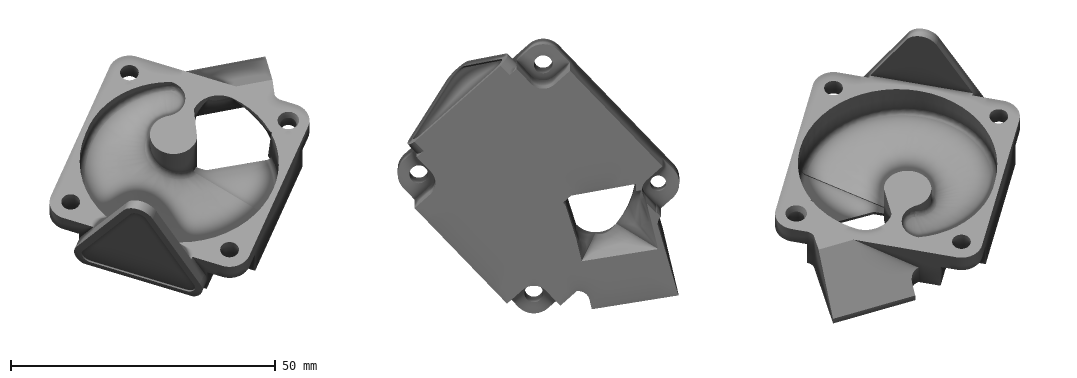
import cadquery as cq
import math

side = 40.0
height = 9.05
corner_radius = 4.0
flange_bottom = 5.45
half = side / 2
hole_offset = half - corner_radius
hole_diameter = 3.55
relief_radius = 3.15
relief_size = corner_radius + relief_radius

small_hole_diameter = 3.05
mouth_diameter = 4.05
mouth_depth = 1.25

cavity_radius = 18.9
post_x = -3.2
post_y = 5.4
post_radius = 4.5
lobe_neck = (-5.45, 9.25)
lobe_right = (-3.75, 12.7)
lobe_top = (-7.8, 16.75)
left_arc_middle = (-12.85, 13.9)
scroll_end_angle = -16
scroll_sweep = 264
scroll_low = 0.9
scroll_high = 8.1
scroll_fillet = 0.95
outlet_floor = 0.7
reach = 2 * side

post_side = (1.25, 6.3)
outlet_left = (-1.65, 12.25)
rim_arc_middle = (13.4, 12.7)
rim_point = (4.05, 17.25)
outlet_edge_start = (3.35, 5.4)
outlet_edge_end = (14.2, 12.2)
spout_tip = (4.9, 33.65)
spout_left = (-9, 24.55)
spout_break = (9.85, 23.8)
spout_tip_height = 1.35
spout_left_root = -8.65
spout_left_hollow = (-7.75, 21.45)
spout_left_end = (-8.0, 22.8)
spout_right_end = (11.5, 20.75)
spout_right_hollow = (12.15, 20.25)
spout_right_root = 13.05
outlet_arc_middle = (-0.1, 15.8)
outlet_corner = (0.3, 15.85)
flare_left = (-3.95, 16.3)
flare_far = (8.3, 24.35)
flare_right = (14.15, 13.95)

plate_front = -22.55
plate_thickness = 1.95
plate_corner_radius = 3.35
plate_top = 22.9
plate_corner_x = 9.55
recess_corner_radius = 1.9
recess_depth = 0.35


def make_body():
    body = cq.Workplane().rect(side, side).extrude(height)
    body = body.edges("|Z").fillet(corner_radius)
    lower = cq.Workplane().rect(side, side).extrude(flange_bottom)
    body = body.union(lower)
    relief_side = 2 * relief_size
    relief = cq.Workplane().rect(relief_side, relief_side).extrude(flange_bottom)
    relief = relief.edges("|Z").fillet(relief_radius)
    for sx in (-1, 1):
        for sy in (-1, 1):
            body = body.cut(relief.translate((sx * half, sy * half, 0)))
    return body


def make_spout():
    outline = (
        cq.Workplane()
        .moveTo(*spout_tip)
        .lineTo(*spout_left)
        .lineTo(*spout_left_end)
        .threePointArc(spout_left_hollow, (spout_left_root, half))
        .lineTo(spout_left_root, cavity_radius)
        .lineTo(spout_right_root, cavity_radius)
        .lineTo(spout_right_root, half)
        .threePointArc(spout_right_hollow, spout_right_end)
        .close()
        .extrude(height)
    )
    edge_x = spout_tip[0] - spout_left[0]
    edge_y = spout_tip[1] - spout_left[1]
    edge_length = math.hypot(edge_x, edge_y)
    outward = cq.Vector(-edge_y / edge_length, edge_x / edge_length, 0)
    along = cq.Vector(edge_x / edge_length, edge_y / edge_length, 0)
    run = (cq.Vector(*spout_tip) - cq.Vector(*spout_break)).dot(outward)
    plane = cq.Plane(origin=spout_break, xDir=outward, normal=along)
    slope = (
        cq.Workplane(plane)
        .polyline([(0, height), (run, spout_tip_height), (run, 0), (-side, 0), (-side, height)])
        .close()
        .extrude(side, both=True)
    )
    return outline.intersect(slope)


def make_cavity():
    return (
        cq.Workplane()
        .moveTo(-cavity_radius, 0)
        .threePointArc((0, -cavity_radius), (cavity_radius, 0))
        .threePointArc(rim_arc_middle, rim_point)
        .threePointArc(outlet_arc_middle, outlet_left)
        .lineTo(*post_side)
        .threePointArc((post_x, post_y - post_radius), lobe_neck)
        .threePointArc(lobe_right, lobe_top)
        .threePointArc(left_arc_middle, (-cavity_radius, 0))
        .close()
        .extrude(height)
    )


def polar(angle, radius):
    a = math.radians(angle)
    return (post_x + radius * math.cos(a), post_y + radius * math.sin(a))


def make_scroll_space(cavity):
    """Cavity above the helical floor, rising clockwise from the outlet."""
    rise = scroll_high - scroll_low
    path = cq.Wire.makeHelix(rise * 360 / scroll_sweep, rise, post_radius, lefthand=True)
    inner_radius = post_radius / 4
    profile = cq.Workplane("XZ").moveTo(inner_radius, 0)
    profile = profile.lineTo(side, 0).lineTo(side, side).lineTo(inner_radius, side).close()
    space = profile.sweep(cq.Workplane(path), isFrenet=True)
    space = space.rotate((0, 0, 0), (0, 0, 1), scroll_end_angle)
    space = cavity.intersect(space.translate((post_x, post_y, scroll_low)))
    floor = min(space.faces().vals(), key=lambda face: face.normalAt().z)
    end_edge = min(floor.Edges(), key=lambda edge: edge.Center().z)
    wall_edges = [edge for edge in floor.Edges() if not edge.isSame(end_edge)]
    return space.newObject(wall_edges).fillet(scroll_fillet)


def make_outlet(cavity):
    sector = (
        cq.Workplane(origin=(0, 0, outlet_floor))
        .polyline([(post_x, post_y), polar(scroll_end_angle, reach), (reach, reach), (post_x, reach)])
        .close()
        .extrude(height)
    )
    floor_space = cavity.intersect(sector)
    floor_space = floor_space.faces("<Z").edges(">X").fillet(scroll_fillet)
    dx = outlet_edge_end[0] - outlet_edge_start[0]
    dy = outlet_edge_end[1] - outlet_edge_start[1]
    far = (outlet_edge_start[0] + 3 * dx, outlet_edge_start[1] + 3 * dy)
    opening = (
        cq.Workplane()
        .polyline([(post_x, post_y), outlet_edge_start, far, (far[0], reach), (post_x, reach)])
        .close()
        .extrude(height)
    )
    return floor_space.union(cavity.intersect(opening))


def make_duct():
    """Opening that flares from the cavity rim out under the spout."""
    top = [post_side, outlet_left, outlet_corner, rim_point, outlet_edge_end, outlet_edge_start]
    bottom = [post_side, outlet_left, flare_left, flare_far, flare_right, outlet_edge_start]
    return (
        cq.Workplane()
        .polyline(bottom)
        .close()
        .workplane(offset=height)
        .polyline(top)
        .close()
        .loft(ruled=True)
    )


def make_triangle(radius, front, depth):
    low = plate_top - plate_corner_radius - plate_corner_x * math.sqrt(3)
    high = plate_top - plate_corner_radius
    return (
        cq.Workplane("XZ", origin=(0, front, 0))
        .polyline([(-plate_corner_x, low), (plate_corner_x, low), (0, high)])
        .close()
        .offset2D(radius)
        .extrude(-depth)
    )


def make_plate():
    upper = make_triangle(plate_corner_radius, plate_front, plate_thickness)
    foot = make_triangle(plate_corner_radius, plate_front, -half - plate_front)
    foot = foot.intersect(cq.Workplane().box(reach, reach, height, centered=(True, True, False)))
    plate = upper.union(foot)
    plate = plate.intersect(cq.Workplane().box(reach, reach, plate_top, centered=(True, True, False)))
    return plate.cut(make_triangle(recess_corner_radius, plate_front, recess_depth))


def cut_holes(part):
    for sx in (-1, 1):
        for sy in (-1, 1):
            is_small = sx == 1 and sy == 1
            diameter = small_hole_diameter if is_small else hole_diameter
            spot = cq.Workplane().center(sx * hole_offset, sy * hole_offset)
            part = part.cut(spot.circle(diameter / 2).extrude(height))
    mouth = (
        cq.Workplane(origin=(hole_offset, hole_offset, height - mouth_depth))
        .circle(small_hole_diameter / 2)
        .workplane(offset=mouth_depth)
        .circle(mouth_diameter / 2)
        .loft()
    )
    return part.cut(mouth)


cavity = make_cavity()
result = make_body().union(make_spout()).union(make_plate())
result = result.cut(make_scroll_space(cavity))
result = result.cut(make_outlet(cavity))
result = result.cut(make_duct())
result = cut_holes(result)